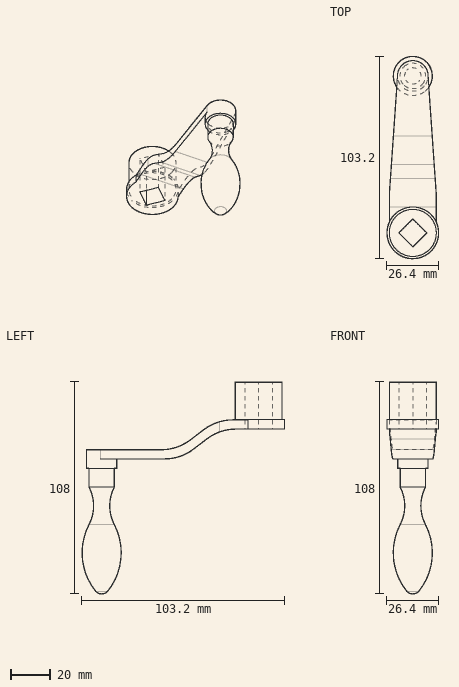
import cadquery as cq
import math

HUB_DIAMETER = 24.0
HUB_HEIGHT = 24.0
FLANGE_DIAMETER = 26.4
FLANGE_HEIGHT = 5.0
SQUARE_SIDE = 10.0

CRANK_LENGTH = 80.0
ARM_THICKNESS = 4.8
ARM_DROP = 15.2
SLOPE_START = 21.4
SLOPE_RUN = 20.0
BEND_RADIUS = 24.0
TAPER_START = 20.0

COLLAR_DIAMETER = 15.6
COLLAR_HEIGHT = 4.8
SHANK_DIAMETER = 13.0
SHANK_LENGTH = 9.5
NECK_LENGTH = 19.1
NECK_RADIUS = 20.7
BULB_LENGTH = 34.0
TIP_EDGE_RADIUS = 3.1
HANDLE_LENGTH = 68.8


def point_on_circle(center, radius, angle):
    return (center[0] + radius * math.cos(angle), center[1] + radius * math.sin(angle))


def make_hub():
    flange = cq.Workplane("XY").circle(FLANGE_DIAMETER / 2).extrude(FLANGE_HEIGHT)
    barrel = cq.Workplane("XY").circle(HUB_DIAMETER / 2).extrude(HUB_HEIGHT)
    return flange.union(barrel)


def make_square_hole():
    hole = cq.Workplane("XY").rect(SQUARE_SIDE, SQUARE_SIDE).extrude(HUB_HEIGHT)
    return hole.rotate((0, 0, 0), (0, 0, 1), 45)


def make_arm_side():
    """Cranked side profile: a plate of constant thickness with all four bend edges rounded."""
    upper_z = ARM_THICKNESS
    lower_z = upper_z - ARM_DROP
    slope_end = SLOPE_START + SLOPE_RUN
    arm_end = CRANK_LENGTH + COLLAR_DIAMETER / 2

    slope_angle = math.atan2(ARM_DROP, SLOPE_RUN)
    setback = ARM_THICKNESS * math.tan(slope_angle / 2)

    profile = (
        cq.Workplane("YZ")
        .moveTo(0, upper_z)
        .lineTo(SLOPE_START, upper_z)
        .lineTo(slope_end, lower_z)
        .lineTo(arm_end, lower_z)
        .lineTo(arm_end, -ARM_DROP)
        .lineTo(slope_end - setback, -ARM_DROP)
        .lineTo(SLOPE_START - setback, 0)
        .lineTo(0, 0)
        .close()
    )
    plate = profile.extrude(HUB_DIAMETER / 2, both=True)

    edge_margin = 1.0
    bend_zone = cq.selectors.BoxSelector(
        (-HUB_DIAMETER, edge_margin, lower_z - HUB_HEIGHT),
        (HUB_DIAMETER, arm_end - edge_margin, HUB_HEIGHT),
    )
    return plate.edges("|X").edges(bend_zone).fillet(BEND_RADIUS)


def make_arm_plan():
    """Plan outline: parallel at the hub, then tapering tangentially into the round end."""
    half_width = HUB_DIAMETER / 2
    end_radius = COLLAR_DIAMETER / 2
    end_center = (0, CRANK_LENGTH)

    taper_length = CRANK_LENGTH - TAPER_START
    corner_distance = math.hypot(half_width, taper_length)
    corner_angle = math.atan2(-taper_length, half_width)
    tangent_angle = corner_angle + math.acos(end_radius / corner_distance)
    tangent_x, tangent_y = point_on_circle(end_center, end_radius, tangent_angle)

    outline = (
        cq.Workplane("XY", origin=(0, 0, -ARM_DROP))
        .moveTo(-half_width, 0)
        .lineTo(half_width, 0)
        .lineTo(half_width, TAPER_START)
        .lineTo(tangent_x, tangent_y)
        .threePointArc((0, CRANK_LENGTH + end_radius), (-tangent_x, tangent_y))
        .lineTo(-half_width, TAPER_START)
        .close()
    )
    return outline.extrude(ARM_DROP + ARM_THICKNESS)


def make_handle():
    """Turned handle: collar, shank, waisted neck, bulb and domed tip."""
    collar_radius = COLLAR_DIAMETER / 2
    shank_radius = SHANK_DIAMETER / 2
    collar_end = -COLLAR_HEIGHT
    shank_end = collar_end - SHANK_LENGTH
    neck_end = shank_end - NECK_LENGTH
    bulb_end = neck_end - BULB_LENGTH
    neck_half = NECK_LENGTH / 2
    waist_radius = shank_radius - NECK_RADIUS + math.sqrt(NECK_RADIUS**2 - neck_half**2)

    dome_height = bulb_end + HANDLE_LENGTH
    dome_radius = (TIP_EDGE_RADIUS**2 + dome_height**2) / (2 * dome_height)
    dome_center = (0, dome_radius - HANDLE_LENGTH)
    dome_edge_angle = math.atan2(bulb_end - dome_center[1], TIP_EDGE_RADIUS)
    dome_mid_angle = (dome_edge_angle - math.pi / 2) / 2

    profile = (
        cq.Workplane("XZ")
        .lineTo(collar_radius, 0)
        .lineTo(collar_radius, collar_end)
        .lineTo(shank_radius, collar_end)
        .lineTo(shank_radius, shank_end)
        .threePointArc((waist_radius, shank_end - neck_half), (shank_radius, neck_end))
        .tangentArcPoint((TIP_EDGE_RADIUS, bulb_end), relative=False)
        .threePointArc(
            point_on_circle(dome_center, dome_radius, dome_mid_angle),
            (0, -HANDLE_LENGTH),
        )
        .close()
    )
    handle = profile.revolve(360, (0, 0, 0), (0, 1, 0))
    return handle.translate((0, CRANK_LENGTH, -ARM_DROP))


arm = make_arm_side().intersect(make_arm_plan())
result = make_hub().union(arm).union(make_handle()).cut(make_square_hole())